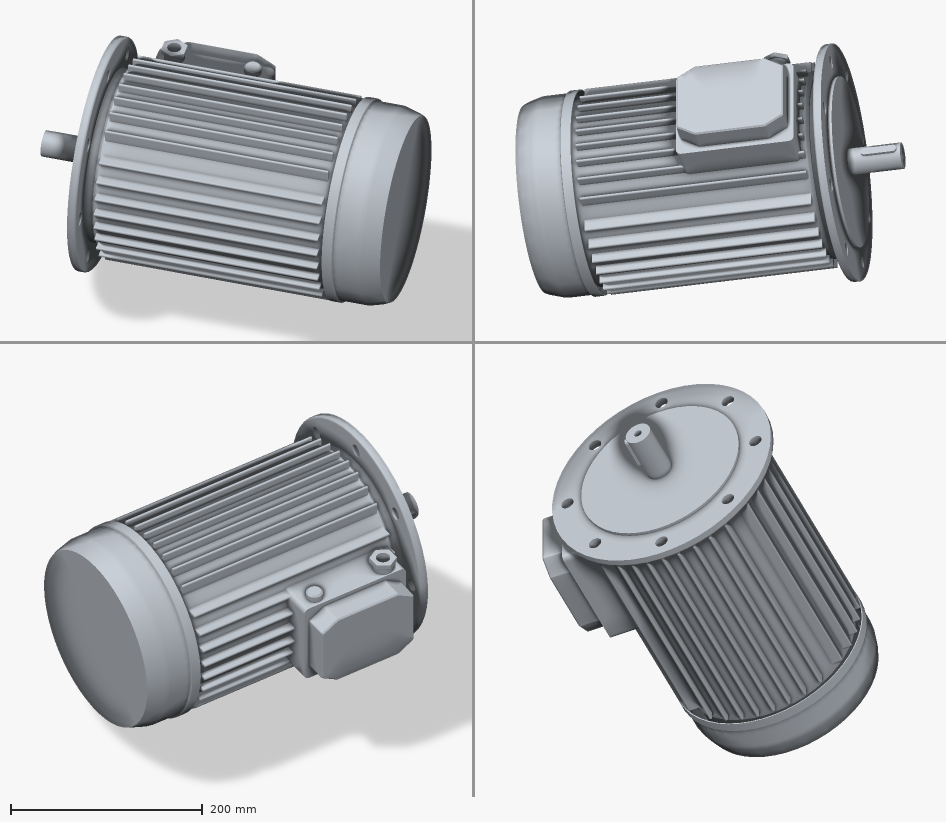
import cadquery as cq
import math


shaft_diameter = 28.0
key_start = 3.5
key_length = 38.0
key_width = 8.0
key_top = 17.0
center_hole_diameter = 8.5
center_hole_depth = 22.0
drill_point_angle = 118

spigot_face = 56.0
spigot_diameter = 180.0
flange_face = 60.0
flange_thickness = 9.0
flange_diameter = 250.0
flange_edge_radius = 2.5
neck_diameter = 185.5
bolt_circle_diameter = 215.0
bolt_hole_diameter = 14.0
bolt_hole_count = 8

housing_start = 79.0
barrel_diameter = 197.5
barrel_chamfer = 3.0
barrel_end = 335.0
rear_neck_end = 368.5
fin_start = 84.0
fin_length = 242.0
fin_envelope_diameter = 216.8
fin_spread = 125.5
fin_thickness = 3.0
fins_per_side = 8
fin_root = 70.5

band_diameter = fin_envelope_diameter
cover_wall = 1.0
band_start = 331.2
band_end = 342.0
band_step_length = 1.0
cover_diameter = 212.0
cover_bend_start = 368.5
cover_bend_end = 373.0
cover_bend_drop = 0.6
cover_end = 392.0
cover_end_diameter = 198.7
cover_bulge = 0.8

box_start = 88.5
box_length = 126.0
box_width = 96.0
box_corner_radius = 6.0
box_root = fin_root
box_split = 126.5
lid_top = 152.0
lid_inset = box_corner_radius
lid_corner_along = 19.5
lid_corner_across = 11.5
lid_corner_radius = 2.0
lid_edge = 1.5

fitting_y = 114.5
gland_x = 109.0
gland_neck_diameter = 22.0
gland_neck_length = 9.5
gland_hex_across_flats = 25.0
gland_hex_thickness = 5.0
gland_bore_diameter = 15.0
plug_x = 194.0
plug_diameter = 18.0
plug_height = 9.0
plug_chamfer = 2.0

box_center_x = box_start + box_length / 2
box_top_z = box_width / 2


def revolve_about_axis(profile):
    """Solid of revolution about the motor axis, from a profile standing on that axis."""
    return profile.close().revolve(360, (0, 0, 0), (1, 0, 0))


def make_key():
    """Round-ended key, reaching from the shaft axis to above the shaft surface."""
    return (
        cq.Workplane("XZ", origin=(key_start + key_length / 2, 0, 0))
        .slot2D(key_length, key_width)
        .extrude(-key_top)
    )


def make_center_hole():
    """Drilled hole in the shaft end with a conical bottom."""
    radius = center_hole_diameter / 2
    point_length = radius / math.tan(math.radians(drill_point_angle / 2))
    return revolve_about_axis(
        cq.Workplane("XY")
        .lineTo(0, radius)
        .lineTo(center_hole_depth, radius)
        .lineTo(center_hole_depth + point_length, 0)
    )


def make_drive_end():
    """Shaft with key, spigot, bolted flange and neck as one body."""
    shaft_radius = shaft_diameter / 2
    spigot_radius = spigot_diameter / 2
    flange_radius = flange_diameter / 2
    neck_radius = neck_diameter / 2
    flange_back = flange_face + flange_thickness
    turned = revolve_about_axis(
        cq.Workplane("XY")
        .lineTo(0, -shaft_radius)
        .lineTo(spigot_face, -shaft_radius)
        .lineTo(spigot_face, -spigot_radius)
        .lineTo(flange_face, -spigot_radius)
        .lineTo(flange_face, -flange_radius)
        .lineTo(flange_back - flange_edge_radius, -flange_radius)
        .radiusArc((flange_back, -flange_radius + flange_edge_radius), -flange_edge_radius)
        .lineTo(flange_back, -neck_radius)
        .lineTo(housing_start, -neck_radius)
        .lineTo(housing_start, 0)
    )
    bolt_holes = (
        cq.Workplane("YZ", origin=(flange_face, 0, 0))
        .polarArray(bolt_circle_diameter / 2, 0, 360, bolt_hole_count)
        .circle(bolt_hole_diameter / 2)
        .extrude(flange_thickness)
    )
    return turned.cut(bolt_holes).union(make_key()).cut(make_center_hole())


def make_barrel():
    """Housing wall with a chamfered front edge and a narrower neck inside the fan cover."""
    radius = barrel_diameter / 2
    neck_radius = neck_diameter / 2
    return revolve_about_axis(
        cq.Workplane("XZ")
        .moveTo(housing_start, 0)
        .lineTo(housing_start, radius - barrel_chamfer)
        .lineTo(housing_start + barrel_chamfer, radius)
        .lineTo(barrel_end, radius)
        .lineTo(barrel_end, neck_radius)
        .lineTo(rear_neck_end, neck_radius)
        .lineTo(rear_neck_end, 0)
    )


def make_fin_row():
    """Parallel round-tipped fins on the +Z side, reaching up to the round envelope."""
    tip_radius = fin_thickness / 2
    envelope_radius = fin_envelope_diameter / 2
    fins = cq.Workplane("YZ", origin=(fin_start, 0, 0))
    for index in range(fins_per_side):
        offset = fin_spread * (index / (fins_per_side - 1) - 0.5)
        tip_center = math.sqrt((envelope_radius - tip_radius) ** 2 - offset**2)
        fins = (
            fins.moveTo(offset - tip_radius, fin_root)
            .lineTo(offset - tip_radius, tip_center)
            .threePointArc((offset, tip_center + tip_radius), (offset + tip_radius, tip_center))
            .lineTo(offset + tip_radius, fin_root)
            .close()
        )
    return fins.extrude(fin_length)


def make_housing():
    """Barrel with fins on four sides, carrying the terminal box and its fittings."""
    housing = make_barrel()
    for quarter in range(4):
        fin_row = make_fin_row().rotate((0, 0, 0), (1, 0, 0), 90 * quarter)
        housing = housing.union(fin_row)
    for part in (make_box_block(), make_lid(), make_gland(), make_plug()):
        housing = housing.union(part)
    return housing


def cover_form(inset):
    """Solid shape of the fan cover with its outer walls moved inward by the inset."""
    band_radius = band_diameter / 2 - inset
    cover_radius = cover_diameter / 2 - inset
    bend_radius = cover_radius - cover_bend_drop
    end_radius = cover_end_diameter / 2 - inset
    end = cover_end - inset
    bend_middle = ((cover_bend_start + cover_bend_end) / 2, cover_radius - cover_bend_drop / 4)
    bulge_middle = ((cover_bend_end + end) / 2, (bend_radius + end_radius) / 2 + cover_bulge)
    return revolve_about_axis(
        cq.Workplane("XZ")
        .moveTo(band_start, 0)
        .lineTo(band_start, band_radius)
        .lineTo(band_end - inset, band_radius)
        .lineTo(band_end - inset + band_step_length, cover_radius)
        .lineTo(cover_bend_start, cover_radius)
        .threePointArc(bend_middle, (cover_bend_end, bend_radius))
        .threePointArc(bulge_middle, (end, end_radius))
        .lineTo(end, 0)
    )


def make_fan_cover():
    """Hollow fan cover, open at the front with an air gap around the barrel."""
    return cover_form(0).cut(cover_form(cover_wall))


def make_box_block():
    """Lower part of the terminal box, running inward into the barrel."""
    return (
        cq.Workplane("XZ", origin=(box_center_x, box_root, 0))
        .rect(box_length, box_width)
        .extrude(box_root - box_split)
        .edges("|Y")
        .fillet(box_corner_radius)
    )


def make_lid():
    """Raised lid with cut corners and a softened outer edge."""
    half_length = box_length / 2 - lid_inset
    half_width = box_width / 2 - lid_inset
    side_end = half_length - lid_corner_along
    end_side = half_width - lid_corner_across
    return (
        cq.Workplane("XZ", origin=(box_center_x, box_split, 0))
        .polyline([
            (side_end, half_width),
            (half_length, end_side),
            (half_length, -end_side),
            (side_end, -half_width),
            (-side_end, -half_width),
            (-half_length, -end_side),
            (-half_length, end_side),
            (-side_end, half_width),
        ])
        .close()
        .extrude(box_split - lid_top)
        .edges("|Y")
        .fillet(lid_corner_radius)
        .faces(">Y")
        .edges()
        .chamfer(lid_edge)
    )


def make_gland():
    """Hexagonal cable gland on a round neck, bored down to the box face."""
    gland_length = gland_neck_length + gland_hex_thickness
    hex_across_corners = gland_hex_across_flats / math.cos(math.pi / 6)
    base = cq.Workplane("XY", origin=(gland_x, fitting_y, box_top_z))
    neck = base.circle(gland_neck_diameter / 2).extrude(gland_neck_length)
    nut = (
        base.workplane(offset=gland_neck_length)
        .transformed(rotate=(0, 0, 90))
        .polygon(6, hex_across_corners)
        .extrude(gland_hex_thickness)
    )
    bore = base.circle(gland_bore_diameter / 2).extrude(gland_length)
    return neck.union(nut).cut(bore)


def make_plug():
    """Round blanking plug with a chamfered rim."""
    return (
        cq.Workplane("XY", origin=(plug_x, fitting_y, box_top_z))
        .circle(plug_diameter / 2)
        .extrude(plug_height)
        .faces(">Z")
        .edges()
        .chamfer(plug_chamfer)
    )


drive_end = make_drive_end()
housing = make_housing()
fan_cover = make_fan_cover()

result = cq.Compound.makeCompound([
    drive_end.solids().val(),
    housing.solids().val(),
    fan_cover.solids().val(),
])